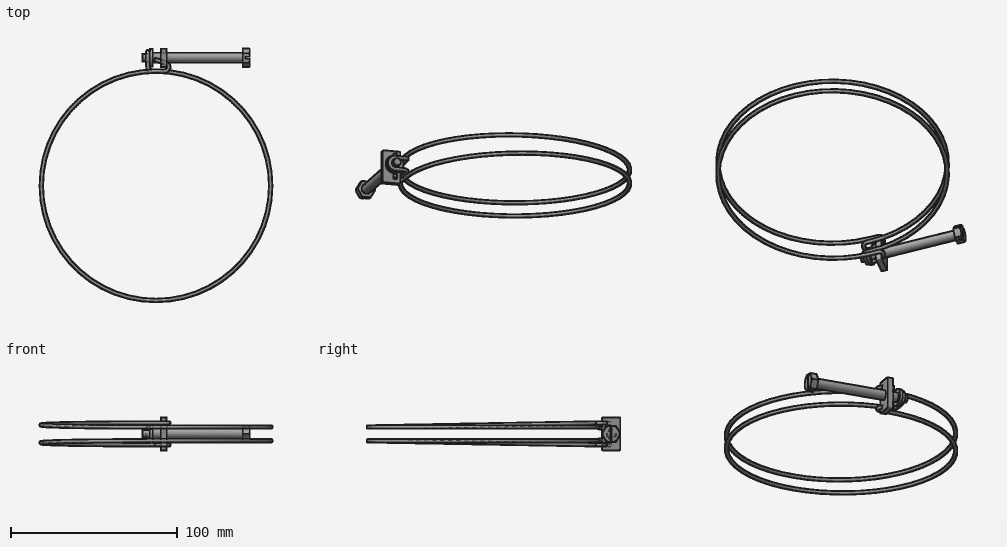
import cadquery as cq
import math

wire_radius = 1.14
band_outer_radius = 69.8
band_radius = band_outer_radius - wire_radius
loop_height = 4.1
end_height = 6.5

screw_y = 76.7
tip_x = -8.2
flange_x = -3.7
shank_x = -1.8
head_x = 51.9
screw_end_x = 56.3
tip_radius = 2.3
shank_radius = 3.0
flange_radius = 5.3
head_corner_radius = 5.6
head_chamfer = 0.6
slot_width = 1.0
slot_depth = 2.6

plate_x = 2.9
plate_thickness = 3.5
plate_width = 11.1
plate_height = 20.0
plate_corner_radius = 0.9

loop_clearance = 0.2
loop_radius = tip_radius + loop_clearance + wire_radius
loop_x = flange_x - wire_radius - 0.08
loop_bend_radius = 3.3

hook_start_x = 5.2
hook_radius = 2.5
hook_slope = math.radians(18)
wire_end_x = -0.8


def half_wire_edges(side):
    """Centre line from the wire's end to the loop; side is +1 above and -1 below the XY plane."""
    level_z = side * loop_height
    end_z = side * end_height
    hook_y = band_radius + hook_radius
    hook_end_x = hook_start_x + hook_radius * math.sin(hook_slope)
    hook_end_y = hook_y + hook_radius * math.cos(hook_slope)
    wire_end_y = hook_end_y + (hook_end_x - wire_end_x) * math.tan(hook_slope)
    mid_angle = hook_slope / 2
    sloping_radius = math.hypot(band_radius, (end_height - loop_height) / 2)

    wire_end = cq.Vector(wire_end_x, wire_end_y, end_z)
    hook_end = cq.Vector(hook_end_x, hook_end_y, end_z)
    hook_mid = cq.Vector(
        hook_start_x + hook_radius * math.cos(mid_angle),
        hook_y - hook_radius * math.sin(mid_angle),
        end_z,
    )
    hook_start = cq.Vector(hook_start_x, band_radius, end_z)
    band_end = cq.Vector(0, band_radius, end_z)
    band_left = cq.Vector(-sloping_radius, 0, (end_z + level_z) / 2)
    band_front = cq.Vector(0, -band_radius, level_z)
    band_right = cq.Vector(band_radius, 0, level_z)
    band_back = cq.Vector(0, band_radius, level_z)
    bend_start = cq.Vector(loop_x + loop_bend_radius, band_radius, level_z)
    bend_end = cq.Vector(loop_x, band_radius + loop_bend_radius, side * loop_radius)
    loop_start = cq.Vector(loop_x, screw_y, side * loop_radius)

    return [
        cq.Edge.makeLine(wire_end, hook_end),
        cq.Edge.makeThreePointArc(hook_end, hook_mid, hook_start),
        cq.Edge.makeLine(hook_start, band_end),
        cq.Edge.makeThreePointArc(band_end, band_left, band_front),
        cq.Edge.makeThreePointArc(band_front, band_right, band_back),
        cq.Edge.makeLine(band_back, bend_start),
        cq.Edge.makeSpline([bend_start, bend_end], tangents=[cq.Vector(-1, 0, 0), cq.Vector(0, 1, 0)]),
        cq.Edge.makeLine(bend_end, loop_start),
    ]


def loop_edge():
    """Half turn joining both halves of the wire around the screw tip."""
    return cq.Edge.makeThreePointArc(
        cq.Vector(loop_x, screw_y, loop_radius),
        cq.Vector(loop_x, screw_y + loop_radius, 0),
        cq.Vector(loop_x, screw_y, -loop_radius),
    )


def round_wire(edge):
    """Round wire swept along one stretch of the centre line."""
    start_plane = cq.Plane(origin=edge.startPoint(), normal=edge.tangentAt(0))
    path = cq.Workplane(cq.Wire.assembleEdges([edge]))
    return cq.Workplane(start_plane).circle(wire_radius).sweep(path)


def make_clamp_wire():
    clamp = round_wire(loop_edge())
    for side in (1, -1):
        for edge in reversed(half_wire_edges(side)):
            clamp = clamp.union(round_wire(edge))
    return clamp


def screw_section(x_start, x_end, radius):
    return cq.Workplane("YZ", origin=(x_start, screw_y, 0)).circle(radius).extrude(x_end - x_start)


def make_head():
    """Slotted hexagon head with its outer corners chamfered."""
    length = screw_end_x - head_x
    hexagon = (
        cq.Workplane("YZ", origin=(head_x, screw_y, 0))
        .polygon(6, 2 * head_corner_radius)
        .extrude(length)
    )
    corner_envelope = screw_section(head_x, screw_end_x, head_corner_radius).faces(">X").chamfer(head_chamfer)
    slot = cq.Workplane(origin=(screw_end_x - slot_depth / 2, screw_y, 0)).box(
        slot_depth, slot_width, 2 * head_corner_radius
    )
    return hexagon.intersect(corner_envelope).cut(slot)


def make_screw():
    tip = screw_section(tip_x, flange_x, tip_radius)
    flange = screw_section(flange_x, shank_x, flange_radius)
    shank = screw_section(shank_x, head_x, shank_radius)
    return tip.union(flange).union(shank).union(make_head())


def make_plate(screw, clamp_wire):
    """Plate with holes fitting the shank and the two wire ends."""
    blank = (
        cq.Workplane("YZ", origin=(plate_x, screw_y, 0))
        .rect(plate_width, plate_height)
        .extrude(plate_thickness)
        .edges("|X")
        .fillet(plate_corner_radius)
    )
    return blank.cut(screw).cut(clamp_wire)


clamp_wire = make_clamp_wire()
screw = make_screw()
plate = make_plate(screw, clamp_wire)

result = cq.Compound.makeCompound([clamp_wire.solids().val(), screw.solids().val(), plate.solids().val()])